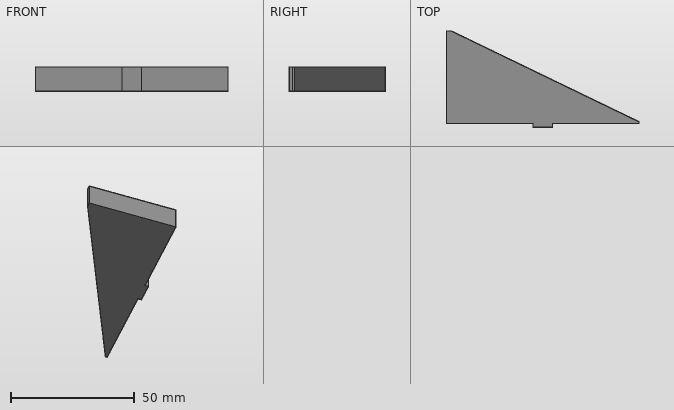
import cadquery as cq

length = 78.0
overall_depth = 39.0
thickness = 10.0

tab_width = 8.0
tab_depth = 1.5

rear_flat = 2.0
tip_height = 0.8

wedge_depth = overall_depth - tab_depth

wedge = (
    cq.Workplane("XY")
    .polyline([
        (0, 0),
        (length, 0),
        (length, tip_height),
        (rear_flat, wedge_depth),
        (0, wedge_depth),
    ])
    .close()
    .extrude(thickness)
)

tab = (
    cq.Workplane("XY")
    .center(length / 2, -tab_depth / 2)
    .rect(tab_width, tab_depth)
    .extrude(thickness)
)

result = wedge.union(tab)